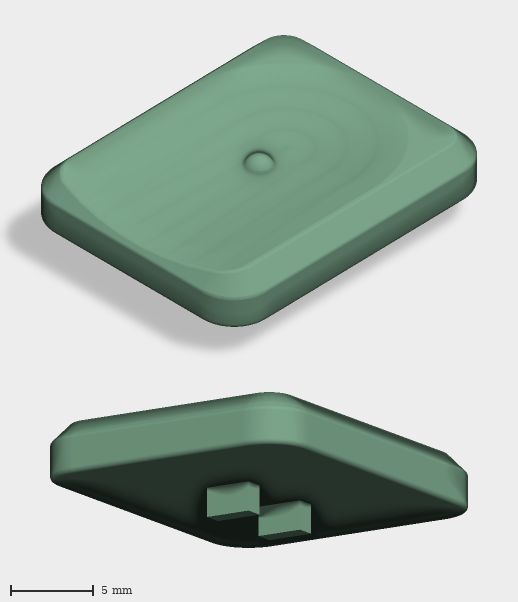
import cadquery as cq

length = 22.5
width = 18.0
total_height = 5.33
peg_height = 1.82
plate_height = total_height - peg_height
corner_radius = 2.75
rim_chamfer = 1.25
shoulder_z = plate_height - rim_chamfer
edge_radius = 0.3
tolerance = 0.02

dish_half_width = 7.45
dish_depth = 0.9
dish_centre_y = 2.25
dish_radius = (dish_half_width**2 + dish_depth**2) / (2 * dish_depth)
dish_axis_z = plate_height - dish_depth + dish_radius

bump_radius = 1.0
bump_top_gap = 0.3
bump_centre_z = plate_height - bump_top_gap - bump_radius
bump_blend = 0.15

peg_width = 3.0
peg_thickness = 1.22
peg_offset_y = 2.85


def edges_in_box(body, low, high):
    """Edges whose centres lie between two opposite corners."""
    return body.edges(cq.selectors.BoxSelector(low, high))


def make_plate():
    """Rounded plate with a sloped rim, softened along its underside and shoulder."""
    plate = cq.Workplane("XY").box(width, length, plate_height, centered=(True, True, False))
    plate = plate.edges("|Z").fillet(corner_radius)
    plate = plate.faces(">Z").chamfer(rim_chamfer)
    plate = plate.faces("<Z").edges().fillet(edge_radius)
    shoulder_edges = edges_in_box(
        plate,
        (-width, -length, shoulder_z - tolerance),
        (width, length, shoulder_z + tolerance),
    )
    return shoulder_edges.fillet(edge_radius)


def make_dish_cutter():
    """Half ball and matching half cylinder, sharing one cross-section."""
    ball = cq.Workplane("XY").sphere(dish_radius).translate((0, dish_centre_y, dish_axis_z))
    trough = (
        cq.Workplane("XZ", origin=(0, dish_centre_y, 0))
        .center(0, dish_axis_z)
        .circle(dish_radius)
        .extrude(length)
    )
    behind_centre = (
        cq.Workplane("XY")
        .box(2 * dish_radius, dish_radius, 2 * dish_radius, centered=(True, False, True))
        .translate((0, dish_centre_y, dish_axis_z))
    )
    return ball.intersect(behind_centre).union(trough)


def carve_dish(plate):
    """Cut the dish, then round the top face's edges and the lip where the dish meets the sloped rim."""
    dished = plate.cut(make_dish_cutter())
    top_edges = dished.faces(">Z").edges()
    front_lip = edges_in_box(
        dished,
        (-width / 2, -length / 2, plate_height - dish_depth),
        (width / 2, corner_radius - length / 2, plate_height - tolerance),
    ).edges("not %LINE")
    return top_edges.add(front_lip).fillet(edge_radius)


def make_bump():
    """Ball standing proud of the dish; its lower part is buried in the plate."""
    return cq.Workplane("XY").sphere(bump_radius).translate((0, 0, bump_centre_z))


def make_pegs():
    return (
        cq.Workplane("XY")
        .pushPoints([(0, -peg_offset_y), (0, peg_offset_y)])
        .rect(peg_width, peg_thickness)
        .extrude(-peg_height)
    )


def add_bump(body):
    """Fuse the bump and blend the circle where it rises from the dish."""
    bumped = body.union(make_bump())
    base_edges = edges_in_box(
        bumped,
        (-tolerance, -tolerance, plate_height - dish_depth - tolerance),
        (tolerance, tolerance, plate_height - dish_depth + tolerance),
    )
    return base_edges.fillet(bump_blend)


result = add_bump(carve_dish(make_plate())).union(make_pegs())